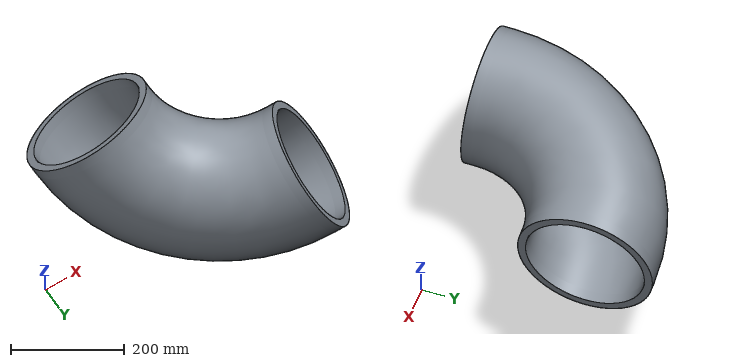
import cadquery as cq

overall_length = 410.0
outer_diameter = 250.0
bore_diameter = 220.5
collar_length = 20.0
bend_angle = 90

bend_radius = overall_length - collar_length - outer_diameter / 2


def pipe_section(plane):
    """Ring-shaped pipe cross-section at the origin of the given plane."""
    return cq.Workplane(plane).circle(outer_diameter / 2).circle(bore_diameter / 2)


bend = pipe_section("XZ").revolve(bend_angle, (bend_radius, 4, 0), (bend_radius, 0, 0))

inlet_collar = pipe_section("XZ").extrude(collar_length)
outlet_collar = (
    pipe_section("YZ").extrude(collar_length).translate((bend_radius, bend_radius, 0))
)

result = bend.union(inlet_collar).union(outlet_collar)